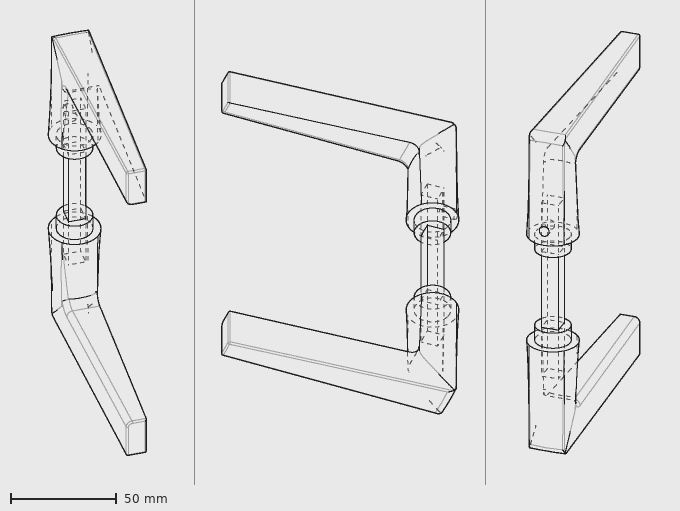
import cadquery as cq
import math

HEIGHT = 170.0
TOP_Z = HEIGHT / 2

NECK_RADIUS = 12.5
NECK_FOOT_Z = 28.0
COLLAR_RADIUS = 8.7
COLLAR_FACE_Z = 20.0
SPINDLE_WIDTH = 8.5
SPINDLE_END_Z = 45.9

OUTER_CORNER_X = -9.0
OUTER_CORNER_Z = 84.3
INNER_CORNER_X = 9.9
INNER_CORNER_Z = OUTER_CORNER_Z - (INNER_CORNER_X - OUTER_CORNER_X)
OUTER_HALF_WIDTH = 9.0
NECK_OVERLAP = 0.03

GRIP_END_X = 104.97
GRIP_END_HEIGHT = 20.0
GRIP_END_HALF_WIDTH = 5.0

SIDE_SLOPE = (OUTER_HALF_WIDTH - GRIP_END_HALF_WIDTH) / (GRIP_END_X - OUTER_CORNER_X)
INNER_HALF_WIDTH = OUTER_HALF_WIDTH - SIDE_SLOPE * (INNER_CORNER_X - OUTER_CORNER_X)

ELBOW_OUTER_RADIUS = 4.6
ELBOW_INNER_RADIUS = 4.8
INNER_EDGE_RADIUS = 2.9
OUTER_EDGE_RADIUS = 0.8
GRIP_END_RADIUS = 0.8

LEG_MARGIN = 0.3
LEG_TOP_Z = OUTER_CORNER_Z + OUTER_CORNER_X
LEG_FOOT_Z = INNER_CORNER_Z - ELBOW_INNER_RADIUS - LEG_MARGIN

SCREW_DIAMETER = 5.0
SCREW_Z = 35.2


def foot_outline():
    """Circle at the neck foot, split into four arcs that face the four sides of the mitre."""

    def rim_point(degrees):
        angle = math.radians(degrees)
        return cq.Vector(NECK_RADIUS * math.cos(angle), NECK_RADIUS * math.sin(angle), NECK_FOOT_Z)

    arcs = [
        cq.Edge.makeThreePointArc(rim_point(start), rim_point(start + 45), rim_point(start + 90))
        for start in (-135, -45, 45, 135)
    ]
    return cq.Wire.assembleEdges(arcs)


def mitre_outline(overlap):
    """Section where the neck ends; an overlap moves it into the grip and clear of the grip's skin."""
    outer_x = OUTER_CORNER_X + 2 * overlap
    outer_y = OUTER_HALF_WIDTH - overlap
    inner_x = INNER_CORNER_X + overlap
    inner_y = INNER_HALF_WIDTH - overlap
    inner_z = INNER_CORNER_Z + overlap
    corners = [
        cq.Vector(outer_x, -outer_y, OUTER_CORNER_Z),
        cq.Vector(inner_x, -inner_y, inner_z),
        cq.Vector(inner_x, inner_y, inner_z),
        cq.Vector(outer_x, outer_y, OUTER_CORNER_Z),
    ]
    return cq.Wire.makePolygon(corners, close=True)


def sharp_neck(overlap=0):
    """Neck that changes from the round foot to the mitre section."""
    return cq.Workplane(cq.Solid.makeLoft([foot_outline(), mitre_outline(overlap)], True))


def sharp_grip():
    """Flat-sided bar with a short leg that carries its inner corner down into the neck."""
    side_profile = (
        cq.Workplane("XZ")
        .moveTo(OUTER_CORNER_X, OUTER_CORNER_Z)
        .lineTo(0, LEG_TOP_Z)
        .lineTo(0, LEG_FOOT_Z)
        .lineTo(INNER_CORNER_X, LEG_FOOT_Z)
        .lineTo(INNER_CORNER_X, INNER_CORNER_Z)
        .lineTo(GRIP_END_X, TOP_Z - GRIP_END_HEIGHT)
        .lineTo(GRIP_END_X, TOP_Z)
        .close()
        .extrude(OUTER_HALF_WIDTH, both=True)
    )
    tapered_plan = (
        cq.Workplane("XY")
        .moveTo(OUTER_CORNER_X, -OUTER_HALF_WIDTH)
        .lineTo(GRIP_END_X, -GRIP_END_HALF_WIDTH)
        .lineTo(GRIP_END_X, GRIP_END_HALF_WIDTH)
        .lineTo(OUTER_CORNER_X, OUTER_HALF_WIDTH)
        .close()
        .extrude(HEIGHT)
    )
    return side_profile.intersect(tapered_plan)


def near(x, y, z):
    return cq.NearestToPointSelector((x, y, z))


def rounded_neck():
    """Neck with its corner edges rounded; the +Y inner edge stays sharp."""
    middle_z = (NECK_FOOT_Z + INNER_CORNER_Z) / 2
    neck = sharp_neck(NECK_OVERLAP)
    neck = neck.edges(near(INNER_CORNER_X, -INNER_HALF_WIDTH, middle_z)).fillet(INNER_EDGE_RADIUS)
    for side in (-1, 1):
        outer_edge = near(OUTER_CORNER_X, side * OUTER_HALF_WIDTH, middle_z)
        neck = neck.edges(outer_edge).fillet(OUTER_EDGE_RADIUS)
    return neck


def rounded_grip():
    """Grip with a rounded inner bend and rounded long edges; the +Y inner edge stays sharp."""
    middle_x = (INNER_CORNER_X + GRIP_END_X) / 2
    middle_half_width = (INNER_HALF_WIDTH + GRIP_END_HALF_WIDTH) / 2
    grip = sharp_grip()
    grip = grip.edges(near(INNER_CORNER_X, 0, INNER_CORNER_Z)).fillet(ELBOW_INNER_RADIUS)
    inner_edge = near(middle_x, -middle_half_width, INNER_CORNER_Z)
    grip = grip.edges(inner_edge).fillet(INNER_EDGE_RADIUS)
    for side in (-1, 1):
        outer_edge = near(middle_x, side * middle_half_width, TOP_Z)
        grip = grip.edges(outer_edge).fillet(OUTER_EDGE_RADIUS)
    return grip.faces(">X").edges().fillet(GRIP_END_RADIUS)


def elbow_waste():
    """Sliver that rounding the outer corner takes off the sharp lever."""
    sharp = sharp_neck().union(sharp_grip())
    outer_corner = near(OUTER_CORNER_X, 0, OUTER_CORNER_Z)
    return sharp.cut(sharp.edges(outer_corner).fillet(ELBOW_OUTER_RADIUS))


def rounded_lever():
    return rounded_neck().union(rounded_grip()).cut(elbow_waste())


def square_spindle():
    return cq.Workplane("XY").box(SPINDLE_WIDTH, SPINDLE_WIDTH, 2 * SPINDLE_END_Z)


def handle(spindle):
    """Upper handle with its collar and the square socket for the spindle."""
    collar = (
        cq.Workplane("XY")
        .workplane(offset=COLLAR_FACE_Z)
        .circle(COLLAR_RADIUS)
        .extrude(NECK_FOOT_Z - COLLAR_FACE_Z)
    )
    return rounded_lever().union(collar).cut(spindle)


def screw_hole():
    return (
        cq.Workplane("YZ")
        .center(0, SCREW_Z)
        .circle(SCREW_DIAMETER / 2)
        .extrude(-NECK_RADIUS)
    )


spindle = square_spindle()
plain_handle = handle(spindle)
upper_handle = plain_handle.cut(screw_hole())
lower_handle = plain_handle.mirror("XY")

result = cq.Compound.makeCompound([upper_handle.val(), lower_handle.val(), spindle.val()])